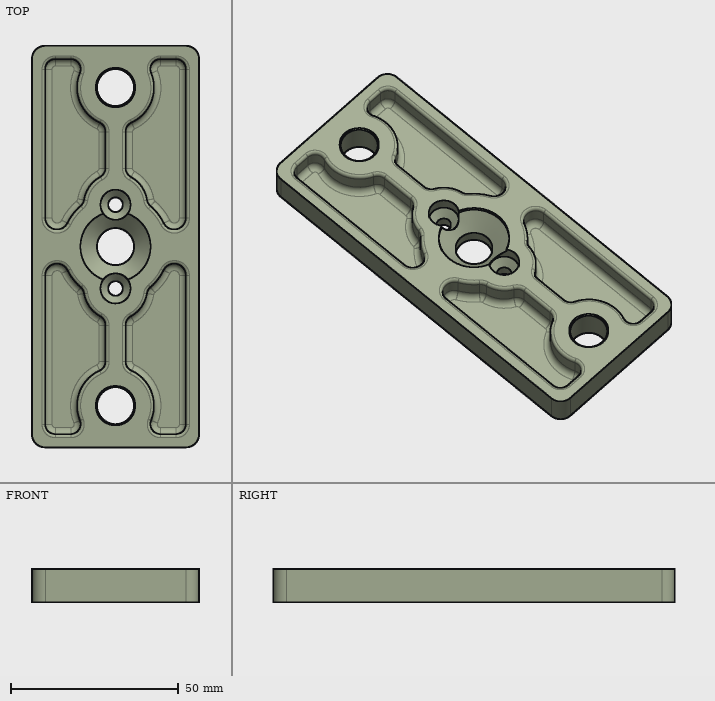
import cadquery as cq
import math

WIDTH = 50.0
LENGTH = 120.0
THICKNESS = 10.0
PLATE_CORNER_RADIUS = 4.0

END_HOLE_Y = 47.5
END_HOLE_DIAMETER = 11.0
END_HOLE_CHAMFER = 0.4

CENTRE_BORE_DIAMETER = 11.0
CENTRE_SINK_DIAMETER = 21.0
CENTRE_RECESS_DEPTH = 1.0

SCREW_Y = 12.5
SCREW_BORE_DIAMETER = 4.3
SCREW_HEAD_DIAMETER = 9.0
SCREW_RECESS_DEPTH = 4.0

POCKET_DEPTH = 7.5
POCKET_RIM_RADIUS = 1.0
POCKET_FLOOR_RADIUS = 2.0
POCKET_CORNER_RADIUS = 3.0
POCKET_TIP_RADIUS = 3.5
RIM_WIDTH = 4.0
WEB_HALF_WIDTH = 3.0
END_BOSS_RADIUS = 11.5
SCREW_BOSS_RADIUS = 9.5
CENTRE_BOSS_RADIUS = 16.0

POCKET_FLOOR_Z = THICKNESS - POCKET_DEPTH


def on_circle(centre_y, radius, angle):
    """Point on a circle centred on the Y axis, with the angle in radians."""
    return (radius * math.cos(angle), centre_y + radius * math.sin(angle))


def make_pocket():
    """Solid that cuts the pocket in the +X +Y quarter."""
    outer_x = WIDTH / 2 - RIM_WIDTH
    top_y = LENGTH / 2 - RIM_WIDTH

    end_start = math.asin((top_y - END_HOLE_Y) / END_BOSS_RADIUS)
    end_stop = -math.acos(WEB_HALF_WIDTH / END_BOSS_RADIUS)
    screw_start = math.acos(WEB_HALF_WIDTH / SCREW_BOSS_RADIUS)
    meeting_y = (CENTRE_BOSS_RADIUS**2 - SCREW_BOSS_RADIUS**2 + SCREW_Y**2) / (2 * SCREW_Y)
    screw_stop = math.asin((meeting_y - SCREW_Y) / SCREW_BOSS_RADIUS)
    centre_start = math.asin(meeting_y / CENTRE_BOSS_RADIUS)
    tip_x = outer_x - POCKET_TIP_RADIUS
    tip_distance = CENTRE_BOSS_RADIUS + POCKET_TIP_RADIUS
    centre_stop = math.acos(tip_x / tip_distance)
    tip_y = tip_distance * math.sin(centre_stop)
    tip_middle_angle = (centre_stop - math.pi) / 2

    outline = (
        cq.Workplane("XY", origin=(0, 0, POCKET_FLOOR_Z))
        .moveTo(outer_x, top_y)
        .lineTo(*on_circle(END_HOLE_Y, END_BOSS_RADIUS, end_start))
        .threePointArc(
            on_circle(END_HOLE_Y, END_BOSS_RADIUS, (end_start + end_stop) / 2),
            on_circle(END_HOLE_Y, END_BOSS_RADIUS, end_stop),
        )
        .lineTo(*on_circle(SCREW_Y, SCREW_BOSS_RADIUS, screw_start))
        .threePointArc(
            on_circle(SCREW_Y, SCREW_BOSS_RADIUS, (screw_start + screw_stop) / 2),
            on_circle(SCREW_Y, SCREW_BOSS_RADIUS, screw_stop),
        )
        .threePointArc(
            on_circle(0, CENTRE_BOSS_RADIUS, (centre_start + centre_stop) / 2),
            on_circle(0, CENTRE_BOSS_RADIUS, centre_stop),
        )
        .threePointArc(
            (
                tip_x + POCKET_TIP_RADIUS * math.cos(tip_middle_angle),
                tip_y + POCKET_TIP_RADIUS * math.sin(tip_middle_angle),
            ),
            (outer_x, tip_y),
        )
        .close()
    )

    sharp_corners = cq.selectors.BoxSelector(
        (0, meeting_y - POCKET_CORNER_RADIUS, 0),
        (WIDTH, LENGTH, THICKNESS),
    )
    return (
        outline.extrude(POCKET_DEPTH)
        .edges("|Z")
        .edges(sharp_corners)
        .fillet(POCKET_CORNER_RADIUS)
        .faces("<Z")
        .edges()
        .fillet(POCKET_FLOOR_RADIUS)
    )


def cut_pockets(plate):
    """Cut one pocket in each quarter and round the pocket rims."""
    upper_right = make_pocket()
    upper_pair = upper_right.union(upper_right.mirror("YZ"))
    plate = plate.cut(upper_pair).cut(upper_pair.mirror("XZ"))
    half_rim = RIM_WIDTH / 2
    inside_rim = cq.selectors.BoxSelector(
        (half_rim - WIDTH / 2, half_rim - LENGTH / 2, 0),
        (WIDTH / 2 - half_rim, LENGTH / 2 - half_rim, THICKNESS + 1),
    )
    return plate.faces(">Z").edges(inside_rim).fillet(POCKET_RIM_RADIUS)


def drill_end_holes(plate):
    """Through holes near both ends, with a small chamfer at the top face."""
    return (
        plate.faces(">Z")
        .workplane(origin=(0, 0, THICKNESS))
        .pushPoints([(0, -END_HOLE_Y), (0, END_HOLE_Y)])
        .cskHole(END_HOLE_DIAMETER, END_HOLE_DIAMETER + 2 * END_HOLE_CHAMFER, 90)
    )


def make_sunk_hole(y, bore_diameter, sink_diameter, recess_depth):
    """Through bore with a 90 degree cone below a cylindrical recess."""
    bore_radius = bore_diameter / 2
    sink_radius = sink_diameter / 2
    cone_top_z = THICKNESS - recess_depth
    cone_bottom_z = cone_top_z - (sink_radius - bore_radius)
    profile = [
        (0, 0),
        (bore_radius, 0),
        (bore_radius, cone_bottom_z),
        (sink_radius, cone_top_z),
        (sink_radius, THICKNESS),
        (0, THICKNESS),
    ]
    hole = cq.Workplane("XZ").polyline(profile).close().revolve(360, (0, 0, 0), (0, 1, 0))
    return hole.translate((0, y, 0))


plate = (
    cq.Workplane("XY")
    .rect(WIDTH, LENGTH)
    .extrude(THICKNESS)
    .edges("|Z")
    .fillet(PLATE_CORNER_RADIUS)
)
plate = cut_pockets(plate)
plate = drill_end_holes(plate)
plate = plate.cut(make_sunk_hole(0, CENTRE_BORE_DIAMETER, CENTRE_SINK_DIAMETER, CENTRE_RECESS_DEPTH))
for side in (-1, 1):
    plate = plate.cut(
        make_sunk_hole(side * SCREW_Y, SCREW_BORE_DIAMETER, SCREW_HEAD_DIAMETER, SCREW_RECESS_DEPTH)
    )

result = plate